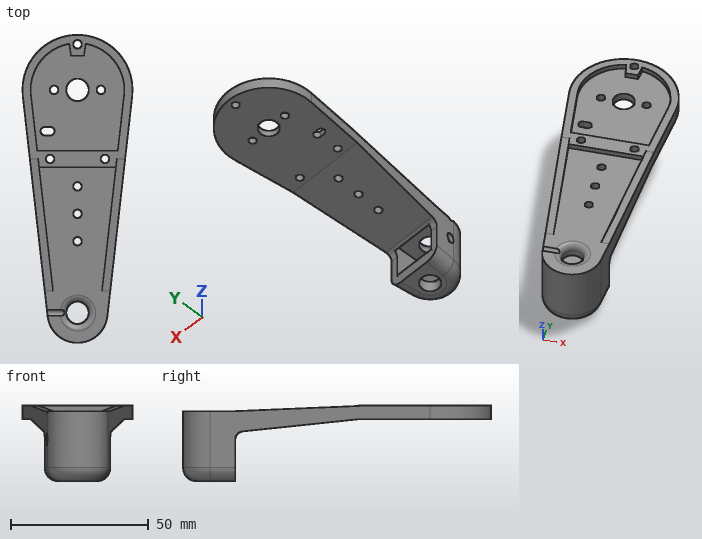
import cadquery as cq
import math

length = 111.8
height = 27.5
wide_radius = 20.0
narrow_radius = 11.0
post_y = -(length - wide_radius - narrow_radius)

plate_thickness = 5.0
rim_fold_y = -25.0
under_fold_y = -28.0
post_face_y = -72.7
rim_drop = 2.0
underside_drop = 4.7
web_fillet = 3.0
bottom_fillet = 5.0

rim_width = 3.0
recess_depth = 2.0
bar_start_y = -22.0
bar_end_y = -28.0
tab_tip_y = 12.4
tab_tip_width = 4.7
tab_root_width = 6.0

bore_diameter = 8.0
bore_rounding = 2.5
screw_diameter = 3.0
side_screw_x = 8.5
tab_screw_y = 16.5
bar_screw_x = 10.0
row_start_y = -35.0
row_pitch = 10.0
row_count = 3
slot_length = 5.0
slot_x = -10.8
slot_y = -15.0

cavity_width = 17.9
cavity_roof_thickness = 5.0
cavity_floor_thickness = 5.0
cable_hole_width = 3.5
cable_hole_height = 4.5
cable_hole_offset = 0.3
cable_hole_y = post_y + cable_hole_offset
cable_hole_z = -12.3
cable_tilt = 18.0
groove_radius = 1.2
groove_depth = 0.7

clearance = 1.1
post_top = -rim_drop


def tapered_outline(inset, z):
    """Two round ends joined by their common tangents, shrunk inward by inset."""
    large = wide_radius - inset
    small = narrow_radius - inset
    taper_sin = (large - small) / -post_y
    taper_cos = math.sqrt(1 - taper_sin**2)
    large_x, large_y = large * taper_cos, -large * taper_sin
    small_x, small_y = small * taper_cos, post_y - small * taper_sin
    return (
        cq.Workplane("XY", origin=(0, 0, z))
        .moveTo(-large_x, large_y)
        .threePointArc((0, large), (large_x, large_y))
        .lineTo(small_x, small_y)
        .threePointArc((0, post_y - small), (-small_x, small_y))
        .close()
    )


def inner_region(bottom, top, start_y, end_y):
    """The area inside the rim between two Y positions and two Z levels."""
    band = cq.Workplane("XY").box(
        2 * wide_radius, start_y - end_y, top - bottom, centered=(True, False, False)
    )
    band = band.translate((0, end_y, bottom))
    return tapered_outline(rim_width, bottom).extrude(top - bottom).intersect(band)


def arm_blank():
    blank = tapered_outline(0, -height).extrude(height).faces("<Z").edges().fillet(bottom_fillet)
    far_y = post_y - narrow_radius - clearance
    near_y = wide_radius + clearance
    corner_z = -plate_thickness - underside_drop
    profile = (
        cq.Workplane("YZ", origin=(-wide_radius - clearance, 0, 0))
        .polyline([
            (near_y, 0),
            (rim_fold_y, 0),
            (post_face_y, post_top),
            (far_y, post_top),
            (far_y, -height),
            (post_face_y, -height),
            (post_face_y, corner_z),
            (under_fold_y, -plate_thickness),
            (near_y, -plate_thickness),
        ])
        .close()
        .extrude(2 * (wide_radius + clearance))
    )
    inside_corner = cq.selectors.NearestToPointSelector((0, post_face_y, corner_z))
    return blank.intersect(profile.edges(inside_corner).fillet(web_fillet))


def recess_top(body):
    body = body.cut(inner_region(-recess_depth, clearance, wide_radius, bar_start_y))
    body = body.cut(inner_region(-recess_depth, clearance, bar_end_y, post_face_y))
    return body.union(inner_region(-plate_thickness, 0, bar_start_y, bar_end_y))


def locating_tab():
    root_y = wide_radius - rim_width
    rim_overlap_y = root_y + rim_width / 2
    return (
        cq.Workplane("XY", origin=(0, 0, -plate_thickness))
        .polyline([
            (-tab_tip_width / 2, tab_tip_y),
            (tab_tip_width / 2, tab_tip_y),
            (tab_root_width / 2, root_y),
            (tab_root_width / 2, rim_overlap_y),
            (-tab_root_width / 2, rim_overlap_y),
            (-tab_root_width / 2, root_y),
        ])
        .close()
        .extrude(plate_thickness)
    )


def plate_holes():
    screw_points = [(0, tab_screw_y)]
    for side in (-1, 1):
        screw_points.append((side * side_screw_x, 0))
        screw_points.append((side * bar_screw_x, rim_fold_y))
    for index in range(row_count):
        screw_points.append((0, row_start_y - index * row_pitch))
    plane = cq.Workplane("XY", origin=(0, 0, -height))
    depth = height + clearance
    screws = plane.pushPoints(screw_points).circle(screw_diameter / 2).extrude(depth)
    centre = plane.circle(bore_diameter / 2).extrude(depth)
    slot = plane.center(slot_x, slot_y).slot2D(slot_length, screw_diameter).extrude(depth)
    return screws.union(centre).union(slot)


def post_bore():
    """Through bore whose top edge flares outward in a quarter round."""
    radius = bore_diameter / 2
    flare_radius = radius + bore_rounding
    arc_offset = bore_rounding * (1 - math.sqrt(0.5))
    return (
        cq.Workplane("XZ")
        .moveTo(0, -height - clearance)
        .lineTo(radius, -height - clearance)
        .lineTo(radius, post_top - bore_rounding)
        .threePointArc((radius + arc_offset, post_top - arc_offset), (flare_radius, post_top))
        .lineTo(flare_radius, post_top + clearance)
        .lineTo(0, post_top + clearance)
        .close()
        .revolve(360, (0, 0, 0), (0, 1, 0))
        .translate((0, post_y, 0))
    )


def post_cavity():
    """Rectangular chamber around the bore, open on the post's +Y face."""
    floor_z = -height + cavity_floor_thickness
    roof_z = post_top - cavity_roof_thickness
    back_y = post_y - bore_diameter / 2
    mouth_y = post_face_y + clearance
    chamber = cq.Workplane("XY").box(
        cavity_width, mouth_y - back_y, roof_z - floor_z, centered=(True, False, False)
    )
    return chamber.translate((0, back_y, floor_z))


def cable_hole():
    """Oval hole through the -X wall, sloping down into the cavity."""
    drop_per_length = math.tan(math.radians(cable_tilt))
    start_x = -narrow_radius - clearance
    start_z = cable_hole_z + clearance * drop_per_length
    reach = narrow_radius + clearance - cavity_width / 4
    path = cq.Workplane("XZ", origin=(start_x, cable_hole_y, start_z))
    path = path.lineTo(reach, -reach * drop_per_length)
    return (
        cq.Workplane("YZ", origin=(start_x, cable_hole_y, start_z))
        .ellipse(cable_hole_width / 2, cable_hole_height / 2)
        .sweep(path)
    )


def cable_groove():
    """Shallow round channel in the top, from the -X side to the bore."""
    start_x = -narrow_radius - clearance
    axis_z = post_top - groove_depth + groove_radius
    return (
        cq.Workplane("YZ", origin=(start_x, post_y, axis_z))
        .circle(groove_radius)
        .extrude(-start_x)
    )


result = recess_top(arm_blank()).union(locating_tab())
for cutter in (plate_holes(), post_bore(), post_cavity(), cable_hole(), cable_groove()):
    result = result.cut(cutter)